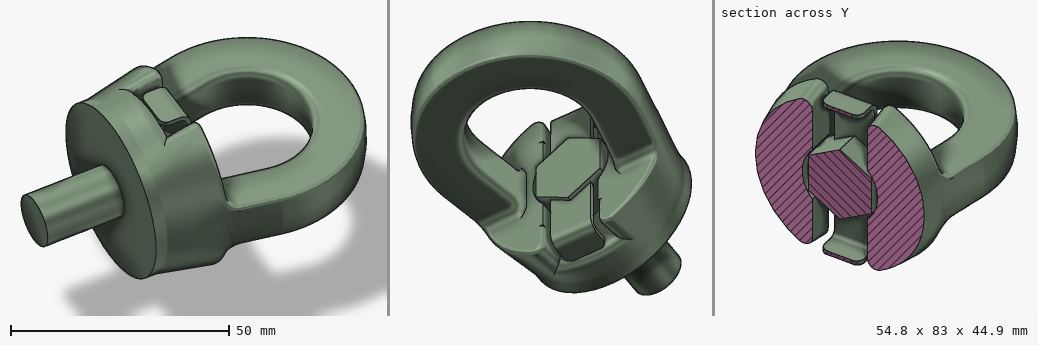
import cadquery as cq
import math


EYE_RADIUS = 27.4
EYE_TOP = 63.0
EYE_CENTRE_Y = EYE_TOP - EYE_RADIUS
OPENING_RADIUS = 15.0
EYE_HALF_THICKNESS = 6.0
OUTER_ROUND = 1.0
OPENING_ROUND = 2.5
OPENING_RUN_OUT = 4.15

BASE_RADIUS = 21.5
BASE_RIM_HEIGHT = 3.1
SHOULDER_Y = 18.0
SHOULDER_FILLET = 3.0

NOTCH_HALF_WIDTH = 7.4
NOTCH_ROUND = 2.4
SEAT_Y = 10.5
HEAD_CLEARANCE = 0.2

SHANK_DIAMETER = 12.7
SHANK_RADIUS = SHANK_DIAMETER / 2
OVERALL_LENGTH = 83.0
SHANK_END_Y = EYE_TOP - OVERALL_LENGTH
HEAD_ACROSS_CORNERS = 19.9
HEAD_TOP_Y = 19.1

CLIP_HALF_WIDTH = 5.4
CLIP_HALF_SPAN = 21.3
CLIP_THICKNESS = 1.2
CLIP_BEND_RADIUS = 3.0
TAB_CORNER_RADIUS = 2.0
TAB_END_Y = SEAT_Y

EDGE_MARGIN = 0.4

CENTRE_RISE = EYE_CENTRE_Y - BASE_RIM_HEIGHT
RIM_TO_CENTRE = math.hypot(BASE_RADIUS, CENTRE_RISE)
CONE_ANGLE = math.asin(EYE_RADIUS / RIM_TO_CENTRE) - math.atan2(BASE_RADIUS, CENTRE_RISE)


def tangent_point(radius):
    """Point where a line inclined at the cone angle leaves a circle about the eye centre."""
    return radius * math.cos(CONE_ANGLE), EYE_CENTRE_Y - radius * math.sin(CONE_ANGLE)


def make_block(half_width, bottom_y, top_y, half_depth):
    """Block centred on the bolt axis between two heights."""
    return (
        cq.Workplane("XY")
        .box(2 * half_width, top_y - bottom_y, 2 * half_depth)
        .translate((0, (bottom_y + top_y) / 2, 0))
    )


def y_cylinder(radius, start_y, end_y):
    """Cylinder on the bolt axis between two heights."""
    return cq.Workplane("XZ", origin=(0, start_y, 0)).circle(radius).extrude(start_y - end_y)


def make_blank():
    """Rim, cone and sphere as one turned shape."""
    blend_x, blend_y = tangent_point(EYE_RADIUS)
    arc_offset = EYE_RADIUS * math.sqrt(0.5)
    return (
        cq.Workplane("XY")
        .lineTo(BASE_RADIUS, 0)
        .lineTo(BASE_RADIUS, BASE_RIM_HEIGHT)
        .lineTo(blend_x, blend_y)
        .threePointArc((arc_offset, EYE_CENTRE_Y + arc_offset), (0, EYE_TOP))
        .close()
        .revolve(360, (0, 0, 0), (0, 1, 0))
    )


def make_side_waste(side):
    """Material removed beside the eye, above the shoulder, on the +Z or -Z side."""
    reach = 2 * EYE_RADIUS
    fillet_y = SHOULDER_Y + SHOULDER_FILLET
    fillet_z = EYE_HALF_THICKNESS + SHOULDER_FILLET
    arc_drop = SHOULDER_FILLET * math.sqrt(0.5)
    return (
        cq.Workplane("YZ", origin=(-reach, 0, 0))
        .moveTo(EYE_TOP, side * EYE_HALF_THICKNESS)
        .lineTo(fillet_y, side * EYE_HALF_THICKNESS)
        .threePointArc(
            (fillet_y - arc_drop, side * (fillet_z - arc_drop)), (SHOULDER_Y, side * fillet_z)
        )
        .lineTo(SHOULDER_Y, side * reach)
        .lineTo(EYE_TOP, side * reach)
        .close()
        .extrude(2 * reach)
    )


def cut_opening(blank):
    """Cut and round the opening: a round top, with straight legs closing in to the shoulder.

    The opening is first cut a little below the shoulder, so that its rounding runs out
    through the shoulder plane. The shoulder is then filled in again.
    """
    leg_x, leg_y = tangent_point(OPENING_RADIUS)
    foot_y = SHOULDER_Y - OPENING_RUN_OUT
    foot_x = leg_x - (leg_y - foot_y) * math.tan(CONE_ANGLE)
    half_depth = EYE_HALF_THICKNESS + SHOULDER_FILLET + OPENING_ROUND
    opening = (
        cq.Workplane("XY")
        .moveTo(-foot_x, foot_y)
        .lineTo(foot_x, foot_y)
        .lineTo(leg_x, leg_y)
        .threePointArc((0, EYE_CENTRE_Y + OPENING_RADIUS), (-leg_x, leg_y))
        .close()
        .extrude(half_depth, both=True)
    )
    cut = blank.cut(opening)
    for side in (1, -1):
        corner = (OPENING_RADIUS + EDGE_MARGIN, SHOULDER_Y - EDGE_MARGIN, side * EDGE_MARGIN)
        opposite = (-corner[0], EYE_TOP, side * (half_depth - EDGE_MARGIN))
        rim = cq.selectors.BoxSelector(corner, opposite, boundingbox=True)
        cut = cut.edges(rim).fillet(OPENING_ROUND)
    infill_bottom = SHOULDER_Y - 2 * OPENING_RUN_OUT
    infill = make_block(OPENING_RADIUS, infill_bottom, SHOULDER_Y, half_depth + OPENING_ROUND)
    return cut.union(infill)


def round_outline(blank):
    """Round the outer edges of the eye and of the shoulder."""
    for side in (1, -1):
        corner = (-2 * EYE_RADIUS, SHOULDER_Y - EDGE_MARGIN, side * EDGE_MARGIN)
        opposite = (2 * EYE_RADIUS, EYE_TOP, side * 2 * EYE_RADIUS)
        upper = cq.selectors.BoxSelector(corner, opposite, boundingbox=True)
        blank = blank.edges(upper).edges("not %LINE").fillet(OUTER_ROUND)
    return blank


def make_notched_blank():
    """Turned blank with a notch on its +Z and -Z sides, open upwards.

    The sides and the floor of the notches are rounded one by one and then joined, so that
    the rounded edges meet in a mitre.
    """
    blank = make_blank()
    reach = 2 * EYE_RADIUS
    slab = make_block(NOTCH_HALF_WIDTH, 0, EYE_TOP, reach)
    below_seat = make_block(reach, 0, SEAT_Y, reach)
    above_rim = make_block(reach, BASE_RIM_HEIGHT, EYE_TOP, reach)
    notched = blank.intersect(below_seat).faces(">Y").edges().fillet(NOTCH_ROUND)
    for lobe in blank.intersect(above_rim).cut(slab).solids().vals():
        inner_face = "<X" if lobe.Center().x > 0 else ">X"
        lobe = cq.Workplane(obj=lobe).faces(inner_face).edges("not %LINE").fillet(NOTCH_ROUND)
        notched = notched.union(lobe)
    core = blank.intersect(make_block(reach, 0, EYE_TOP, HEAD_ACROSS_CORNERS / 2))
    return notched.union(core)


def make_housing():
    """Eye and base in one piece, with the bolt hole, head recess and tab notches."""
    housing = make_notched_blank()
    for side in (1, -1):
        housing = housing.cut(make_side_waste(side))
    housing = cut_opening(round_outline(housing))
    housing = housing.cut(make_block(NOTCH_HALF_WIDTH, SEAT_Y, SHOULDER_Y, EYE_RADIUS))
    recess_radius = HEAD_ACROSS_CORNERS / 2 + HEAD_CLEARANCE
    housing = housing.cut(y_cylinder(recess_radius, SEAT_Y, HEAD_TOP_Y))
    return housing.cut(y_cylinder(SHANK_RADIUS, 0, SEAT_Y))


def make_clip():
    """Strip through the bolt head, bent down into a round-cornered tab at each end."""
    inner_span = CLIP_HALF_SPAN - CLIP_THICKNESS
    inner_bend = CLIP_BEND_RADIUS - CLIP_THICKNESS
    height = SHOULDER_Y - TAB_END_Y
    clip = (
        cq.Workplane("XY")
        .box(2 * CLIP_HALF_WIDTH, height, 2 * CLIP_HALF_SPAN)
        .translate((0, SHOULDER_Y - height / 2, 0))
        .edges("|X and >Y")
        .fillet(CLIP_BEND_RADIUS)
        .edges("|Z and <Y")
        .fillet(TAB_CORNER_RADIUS)
    )
    inside = (
        cq.Workplane("XY")
        .box(4 * CLIP_HALF_WIDTH, height, 2 * inner_span)
        .translate((0, SHOULDER_Y - CLIP_THICKNESS - height / 2, 0))
        .edges("|X and >Y")
        .fillet(inner_bend)
    )
    return clip.cut(inside)


def make_bolt(clip):
    """Hexagon head and plain shank, with a slot through the head that fits the clip."""
    head = (
        cq.Workplane("XZ", origin=(0, SEAT_Y, 0))
        .polygon(6, HEAD_ACROSS_CORNERS)
        .extrude(SEAT_Y - HEAD_TOP_Y)
        .rotate((0, 0, 0), (0, 1, 0), 90)
    )
    return head.union(y_cylinder(SHANK_RADIUS, SHANK_END_Y, SEAT_Y)).cut(clip)


housing = make_housing()
clip = make_clip()
bolt = make_bolt(clip)

result = cq.Compound.makeCompound([housing.val(), bolt.val(), clip.val()])